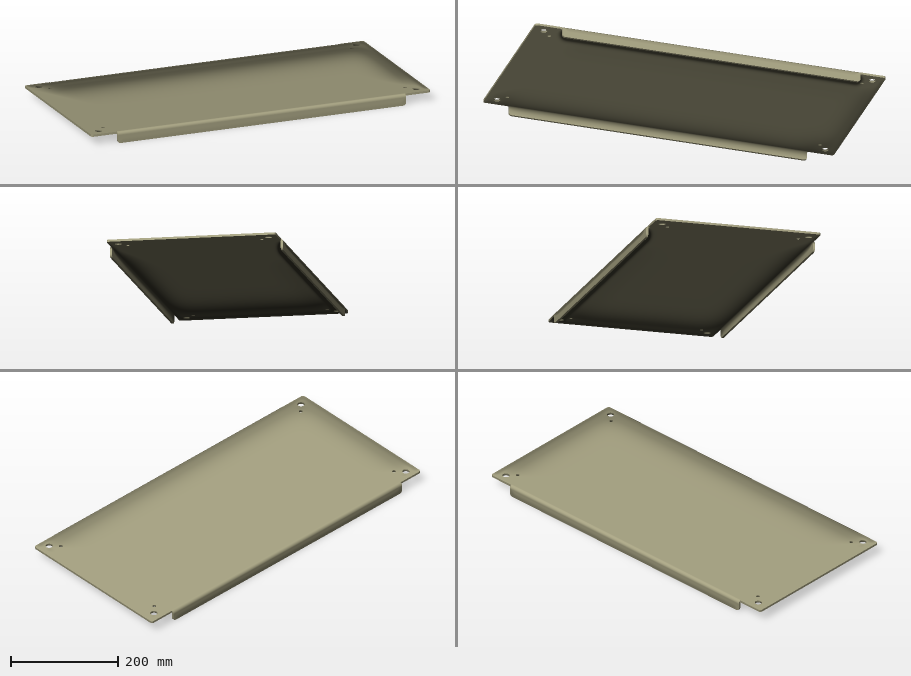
import cadquery as cq

length = 686.0
width = 328.5
height = 22.0
thickness = 4.0

plate_width = 321.0
plate_corner_radius = 5.0

flange_length = 583.0
bend_outer_radius = 6.0
bend_inner_radius = bend_outer_radius - thickness
flange_corner_radius = 6.0

mount_diameter = 13.0
mount_spacing = (285.0, 642.0)
pilot_diameter = 7.0
pilot_spacing = (254.5, 611.0)


def make_plate():
    """Flat sheet with rounded corners and its underside on Z = 0."""
    sheet = cq.Workplane("XY").rect(plate_width, length).extrude(thickness)
    return sheet.edges("|Z").fillet(plate_corner_radius)


def make_bent_block(block_width, bottom, top, bend_radius):
    """Solid block along Y with its two upper long edges rounded."""
    block = cq.Workplane("XY").workplane(offset=bottom)
    block = block.rect(block_width, flange_length).extrude(top - bottom)
    return block.edges("|Y and >Z").fillet(bend_radius)


def make_channel():
    """Downturned flanges joined by a web level with the plate."""
    bottom = thickness - height
    outer = make_bent_block(width, bottom, thickness, bend_outer_radius)
    inner = make_bent_block(width - 2 * thickness, bottom, 0, bend_inner_radius)
    return outer.cut(inner).edges("|X and <Z").fillet(flange_corner_radius)


def make_holes(spacing, diameter):
    """Cutters for a rectangular pattern of four through holes."""
    return (
        cq.Workplane("XY")
        .rect(*spacing, forConstruction=True)
        .vertices()
        .circle(diameter / 2)
        .extrude(thickness)
    )


web_opening = (
    cq.Workplane("XY")
    .rect(width, flange_length)
    .extrude(thickness)
)
part = make_plate().cut(web_opening).union(make_channel())
part = part.cut(make_holes(mount_spacing, mount_diameter))
result = part.cut(make_holes(pilot_spacing, pilot_diameter))